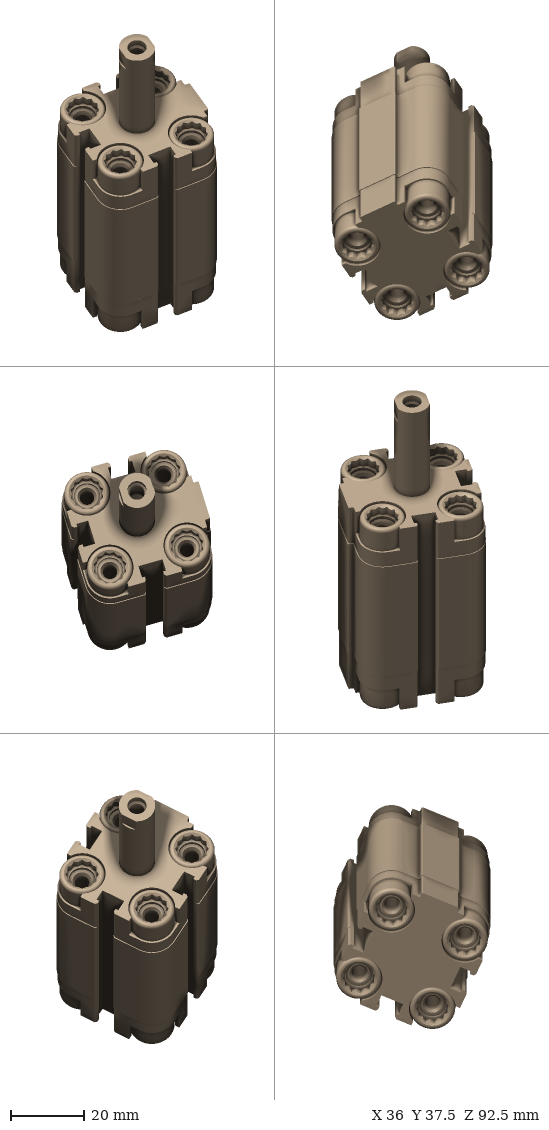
import cadquery as cq
import math

TOTAL_HEIGHT = 92.5
BODY_HEIGHT = 63.2
CAP_HEIGHT = 12.5

SCREW_OFFSET = 11.0
PROFILE_WIDTH = 36.0
BARREL_HALF = PROFILE_WIDTH / 2
CAP_INSET = 0.23
CAP_HALF = BARREL_HALF - CAP_INSET

RIB_HEIGHT = 1.5
RIB_HALF = 5.7
RIB_FILLET = 0.4

SLOT_THROAT_HALF = 2.6
SLOT_INNER_HALF = 3.4
SLOT_FLOOR = 12.95
SLOT_LIP = 16.3
LIP_CHAMFER = 0.6
SLOT_ANGLES = (0, 180, 270)

POCKET_DEPTH = 7.5
POCKET_FLOOR = BODY_HEIGHT - POCKET_DEPTH
POCKET_EDGE = 7.7
HEAD_DIAMETER = 12.5
HEAD_FILLET = 1.0
SEAT_DIAMETER = 12.9
HEAD_RECESS = 0.14
HEAD_TOP = BODY_HEIGHT - HEAD_RECESS
CORNER_ANGLES = (0, 90, 180, 270)

SOCKET_CHAMFER_DIAMETER = 10.0
SOCKET_CHAMFER_DEPTH = 0.65
SOCKET_FLATS = 8.0
TWELVE_POINT_ANGLES = (0, 30)
SOCKET_DEPTH = 2.9
SOCKET_BORE_DIAMETER = 7.2
SOCKET_BORE_DEPTH = 3.8
SCREW_CONE_DIAMETER = 5.3
SCREW_HOLE_DIAMETER = 4.0
SCREW_CONE_DEPTH = 0.9

ROD_DIAMETER = 10.0
ROD_BOTTOM = BODY_HEIGHT - CAP_HEIGHT
FLATS_WIDTH = 9.0
FLATS_LENGTH = 4.4
ROD_COUNTERBORE_DIAMETER = 5.3
ROD_COUNTERBORE_DEPTH = 2.0
ROD_SHOULDER_DIAMETER = 5.0
ROD_HOLE_DIAMETER = 4.2
ROD_CONE_DEPTH = 0.5
ROD_HOLE_DEPTH = 11.1
ROD_TIP_ANGLE = 118.0


def profile(half, height):
    """Rounded square with the rib on its +Y side, extruded upward from Z = 0."""
    corner_radius = half - SCREW_OFFSET
    square = (
        cq.Workplane("XY")
        .rect(2 * half, 2 * half)
        .extrude(height)
        .edges("|Z")
        .fillet(corner_radius)
    )
    crest = half + RIB_HEIGHT
    side = RIB_HALF - (BARREL_HALF - half)
    rib = (
        cq.Workplane("XY")
        .moveTo(0, 0)
        .lineTo(side + RIB_FILLET, 0)
        .lineTo(side + RIB_FILLET, half)
        .radiusArc((side, half + RIB_FILLET), RIB_FILLET)
        .lineTo(side, crest - RIB_FILLET)
        .radiusArc((side - RIB_FILLET, crest), -RIB_FILLET)
        .lineTo(0, crest)
        .close()
        .extrude(height)
    )
    rib = rib.union(rib.mirror("YZ"))
    return square.union(rib)


def t_slot(half, height, angle):
    """Cutter for the T-slot in the +X face, turned about Z to its own face."""
    half_outline = [
        (half, SLOT_THROAT_HALF + LIP_CHAMFER),
        (half - LIP_CHAMFER, SLOT_THROAT_HALF),
        (SLOT_LIP, SLOT_THROAT_HALF),
        (SLOT_LIP, SLOT_INNER_HALF),
        (SLOT_FLOOR, SLOT_INNER_HALF),
    ]
    mirrored = [(x, -y) for x, y in reversed(half_outline)]
    cutter = cq.Workplane("XY").polyline(half_outline + mirrored).close().extrude(height)
    return cutter.rotate((0, 0, 0), (0, 0, 1), angle)


def section(half, bottom, height):
    """Length of the slotted profile starting at the given height."""
    block = profile(half, height)
    for angle in SLOT_ANGLES:
        block = block.cut(t_slot(half, height, angle))
    return block.translate((0, 0, bottom))


def corner_pocket():
    """Cutter at the upper +X +Y corner: square outer corner plus a round seat for the head."""
    size = 2 * (BARREL_HALF - POCKET_EDGE)
    corner = (
        cq.Workplane("XY", origin=(POCKET_EDGE, POCKET_EDGE, POCKET_FLOOR))
        .rect(size, size, centered=False)
        .extrude(POCKET_DEPTH)
    )
    seat = (
        cq.Workplane("XY", origin=(SCREW_OFFSET, SCREW_OFFSET, POCKET_FLOOR))
        .circle(SEAT_DIAMETER / 2)
        .extrude(POCKET_DEPTH)
    )
    return corner.union(seat)


def screw_head():
    """Round head standing on the pocket floor, part of the housing."""
    return (
        cq.Workplane("XY", origin=(SCREW_OFFSET, SCREW_OFFSET, POCKET_FLOOR))
        .circle(HEAD_DIAMETER / 2)
        .extrude(HEAD_TOP - POCKET_FLOOR)
        .faces(">Z")
        .edges()
        .fillet(HEAD_FILLET)
    )


def socket():
    """Cutter for the twelve-point socket, the bore below it and half of the through hole."""
    corner_diameter = SOCKET_FLATS / math.cos(math.pi / 6)
    bore_floor = -SOCKET_BORE_DEPTH
    middle = BODY_HEIGHT / 2 - HEAD_TOP
    cone_floor = bore_floor - SCREW_CONE_DEPTH
    cutter = (
        cq.Workplane("XZ")
        .polyline([
            (0, 0),
            (SOCKET_CHAMFER_DIAMETER / 2, 0),
            (SOCKET_FLATS / 2, -SOCKET_CHAMFER_DEPTH),
            (SOCKET_BORE_DIAMETER / 2, -SOCKET_CHAMFER_DEPTH),
            (SOCKET_BORE_DIAMETER / 2, bore_floor),
            (SCREW_CONE_DIAMETER / 2, bore_floor),
            (SCREW_HOLE_DIAMETER / 2, cone_floor),
            (SCREW_HOLE_DIAMETER / 2, middle),
            (0, middle),
        ])
        .close()
        .revolve(360, (0, 0, 0), (0, 1, 0))
    )
    for angle in TWELVE_POINT_ANGLES:
        hexagon = cq.Workplane("XY").polygon(6, corner_diameter).extrude(-SOCKET_DEPTH)
        cutter = cutter.union(hexagon.rotate((0, 0, 0), (0, 0, 1), angle))
    return cutter.translate((SCREW_OFFSET, SCREW_OFFSET, HEAD_TOP))


def at_all_corners(shape):
    """The upper corner shape repeated at the four corners of both ends."""
    lower = shape.mirror("XY").translate((0, 0, BODY_HEIGHT))
    copies = []
    for end in (shape, lower):
        for angle in CORNER_ANGLES:
            copies.append(end.rotate((0, 0, 0), (0, 0, 1), angle))
    return copies


def make_housing():
    """Barrel with its two slightly smaller ends, socket heads and the rod seat."""
    barrel_height = BODY_HEIGHT - 2 * CAP_HEIGHT
    body = (
        section(BARREL_HALF, CAP_HEIGHT, barrel_height)
        .union(section(CAP_HALF, 0, CAP_HEIGHT))
        .union(section(CAP_HALF, BODY_HEIGHT - CAP_HEIGHT, CAP_HEIGHT))
    )
    for pocket in at_all_corners(corner_pocket()):
        body = body.cut(pocket)
    for head in at_all_corners(screw_head()):
        body = body.union(head)
    for opening in at_all_corners(socket()):
        body = body.cut(opening)
    seat = (
        cq.Workplane("XY", origin=(0, 0, ROD_BOTTOM))
        .circle(ROD_DIAMETER / 2)
        .extrude(CAP_HEIGHT)
    )
    return body.cut(seat)


def make_rod():
    """Piston rod with two wrench flats and a stepped blind hole in its tip."""
    rod = (
        cq.Workplane("XY", origin=(0, 0, ROD_BOTTOM))
        .circle(ROD_DIAMETER / 2)
        .extrude(TOTAL_HEIGHT - ROD_BOTTOM)
    )
    for side in (-1, 1):
        flat = (
            cq.Workplane("XY", origin=(0, side * FLATS_WIDTH, TOTAL_HEIGHT - FLATS_LENGTH))
            .rect(ROD_DIAMETER, FLATS_WIDTH)
            .extrude(FLATS_LENGTH)
        )
        rod = rod.cut(flat)
    tip_depth = ROD_HOLE_DIAMETER / 2 / math.tan(math.radians(ROD_TIP_ANGLE / 2))
    hole = (
        cq.Workplane("XZ")
        .polyline([
            (0, 0),
            (ROD_COUNTERBORE_DIAMETER / 2, 0),
            (ROD_COUNTERBORE_DIAMETER / 2, -ROD_COUNTERBORE_DEPTH),
            (ROD_SHOULDER_DIAMETER / 2, -ROD_COUNTERBORE_DEPTH),
            (ROD_HOLE_DIAMETER / 2, -ROD_COUNTERBORE_DEPTH - ROD_CONE_DEPTH),
            (ROD_HOLE_DIAMETER / 2, -ROD_HOLE_DEPTH),
            (0, -ROD_HOLE_DEPTH - tip_depth),
        ])
        .close()
        .revolve(360, (0, 0, 0), (0, 1, 0))
        .translate((0, 0, TOTAL_HEIGHT))
    )
    return rod.cut(hole)


housing = make_housing()
rod = make_rod()
result = cq.Compound.makeCompound([housing.solids().val(), rod.solids().val()])